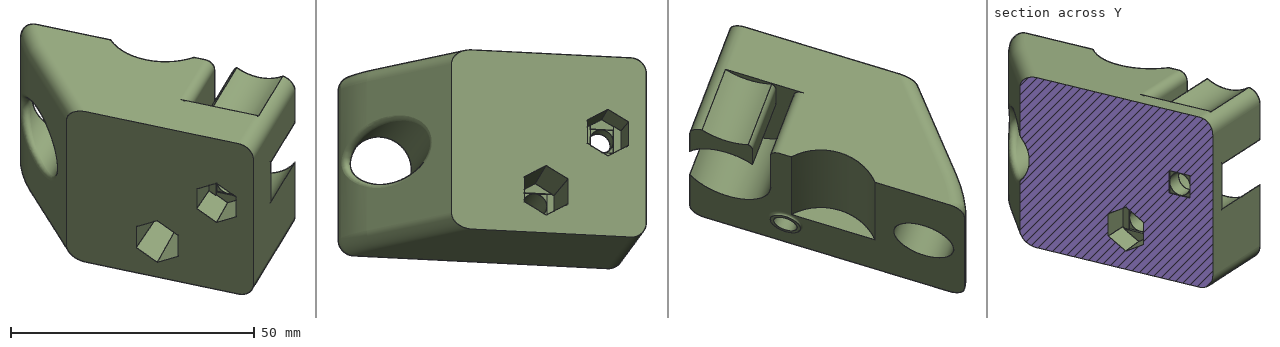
import cadquery as cq
import math

length = 59.68
depth = 25.5
height = 38.19
edge_radius = 3.25

slope_foot_x = 18.86
slope_angle = 50.0
corner_radius = 3.25
corner_turn = 24.6
back_land = 0.4

bore_diameter = 13.0
bore_x = 8.8
bore_z = height / 2
bore_lip_radius = 1.0

saddle_radius = 12.05
saddle_x = 28.5
saddle_depth = 4.15

lower_x = 38.68
lower_z = 9.05
lower_hole = 5.1
lower_nut_mouth = 9.15
lower_nut_floor = 7.95
lower_nut_depth = 12.0

upper_x = 51.62
upper_z = 22.0
upper_hole = 4.9
upper_nut_mouth = 8.6
upper_nut_floor = 7.95
upper_nut_depth = 6.5

bridge_step = 0.3

boss_radius = 3.3
boss_height = 0.6
boss_flare = 0.5
saddle_end_z = lower_z + boss_radius + boss_flare

pocket_depth = 14.9
pocket_radius = 9.5
slot_width = 3.9
slot_lip_radius = 2.1
scoop_radius = 9.5
scoop_x = 51.75
scoop_bottom_z = 36.55


def cylinder_along_y(x, z, radius, y_start, y_end):
    """Cylinder parallel to Y between two Y positions."""
    start = cq.Vector(x, y_start, z)
    return cq.Workplane(obj=cq.Solid.makeCylinder(radius, y_end - y_start, start, cq.Vector(0, 1, 0)))


def box_between(x_range, y_range, z_range):
    """Axis-aligned box spanning three (low, high) ranges."""
    sizes = [high - low for low, high in (x_range, y_range, z_range)]
    corner = cq.Vector(x_range[0], y_range[0], z_range[0])
    return cq.Workplane(obj=cq.Solid.makeBox(*sizes, corner))


def left_end_points():
    """Corner arc start, middle and end, then the middle and end of the broad curve, in XY."""
    slope = math.radians(90 - slope_angle)
    turn = math.radians(corner_turn)
    center_y = depth - back_land

    def corner_point(angle):
        return (
            corner_radius * (1 - math.cos(angle)),
            center_y - corner_radius * math.sin(angle),
        )

    blend_x, blend_y = corner_point(turn)
    slope_x_at_blend = slope_foot_x - blend_y * math.tan(slope)
    gap = slope_x_at_blend - blend_x
    tangent = -gap * math.cos(slope) / math.sin(slope - turn)
    cross_x = blend_x + tangent * math.sin(turn)
    cross_y = blend_y - tangent * math.cos(turn)
    slope_end = (cross_x + tangent * math.sin(slope), cross_y - tangent * math.cos(slope))

    curve_radius = tangent / math.tan((slope - turn) / 2)
    middle = (slope + turn) / 2
    curve_middle = (
        blend_x + curve_radius * (math.cos(turn) - math.cos(middle)),
        blend_y - curve_radius * (math.sin(middle) - math.sin(turn)),
    )
    return corner_point(0), corner_point(turn / 2), corner_point(turn), curve_middle, slope_end


def make_block():
    """Extruded outline, rounded along the top and bottom of its left and right ends."""
    corner_start, corner_middle, corner_end, curve_middle, slope_end = left_end_points()
    block = (
        cq.Workplane("XY")
        .moveTo(slope_foot_x, 0)
        .lineTo(length, 0)
        .lineTo(length, depth)
        .lineTo(0, depth)
        .lineTo(*corner_start)
        .threePointArc(corner_middle, corner_end)
        .threePointArc(curve_middle, slope_end)
        .close()
        .extrude(height)
    )
    rim = block.faces("<Z or >Z").edges("not |X")
    return rim.fillet(edge_radius)


def cut_bore(body):
    """Round bore along Y with a rolled lip where it opens on the sloped end."""
    body = body.cut(cylinder_along_y(bore_x, bore_z, bore_diameter / 2, 0, depth))
    reach = bore_diameter / 2 + bore_lip_radius
    mouth_zone = cq.selectors.BoxSelector(
        (bore_x - reach, 0, bore_z - reach),
        (bore_x + reach, depth - back_land, bore_z + reach),
        boundingbox=True,
    )
    lip = body.edges(mouth_zone).edges("not %LINE")
    return lip.fillet(bore_lip_radius)


def cut_saddle(body):
    """Cylindrical saddle parallel to Z in the back face."""
    axis_y = depth - saddle_depth + saddle_radius
    saddle = (
        cq.Workplane("XY", origin=(saddle_x, axis_y, saddle_end_z))
        .circle(saddle_radius)
        .extrude(height - saddle_end_z)
    )
    return body.cut(saddle)


def cut_pocket(body):
    """Round pocket about the upper screw, with an entry slot from the top and a scoop above it."""
    floor_y = depth - pocket_depth
    slot_left = upper_x - pocket_radius
    slot_right = slot_left + slot_width
    lip_left = slot_left - slot_lip_radius
    lip_right = slot_right + slot_lip_radius
    lip_z = height - slot_lip_radius

    body = body.cut(cylinder_along_y(upper_x, upper_z, pocket_radius, floor_y, depth))
    body = body.cut(box_between((slot_left, slot_right), (floor_y, depth), (upper_z, height)))

    lips = box_between((lip_left, lip_right), (floor_y, depth), (lip_z, height))
    for lip_x in (lip_left, lip_right):
        lips = lips.cut(cylinder_along_y(lip_x, lip_z, slot_lip_radius, floor_y, depth))
    body = body.cut(lips)

    scoop_z = scoop_bottom_z + scoop_radius
    return body.cut(cylinder_along_y(scoop_x, scoop_z, scoop_radius, floor_y, depth))


def hexagon(width, y):
    """Hexagon wire across the Y axis, points up and down, centred on the axis."""
    radius = width / math.sqrt(3)
    angles = [math.radians(90 + 60 * i) for i in range(6)]
    points = [cq.Vector(radius * math.cos(a), y, radius * math.sin(a)) for a in angles]
    return cq.Wire.makePolygon(points, close=True)


def cut_nut_pocket(body, x, z, hole, mouth, floor, nut_depth, slot_upright):
    """Tapered nut pocket, two stepped bridging layers and the screw hole behind them."""
    center = (x, 0, z)
    nut = cq.Workplane(obj=cq.Solid.makeLoft([hexagon(mouth, 0), hexagon(floor, nut_depth)], True))
    body = body.cut(nut.translate(center))

    first_step = nut_depth + bridge_step
    second_step = first_step + bridge_step
    half = hole / 2
    bridge = cq.Workplane(
        obj=cq.Solid.extrudeLinear(hexagon(floor, nut_depth), [], cq.Vector(0, bridge_step, 0))
    )
    wide = (-floor, floor)
    narrow = (-half, half)
    x_range, z_range = (narrow, wide) if slot_upright else (wide, narrow)
    bridge = bridge.intersect(box_between(x_range, (nut_depth, first_step), z_range))
    body = body.cut(bridge.translate(center))

    square = box_between(narrow, (first_step, second_step), narrow)
    body = body.cut(square.translate(center))
    return body.cut(cylinder_along_y(x, z, half, 0, depth + boss_height))


def add_boss(body):
    """Low round spacer on the back face, flared at its base by a concave arc."""
    flare_radius = boss_radius + boss_flare
    bend = boss_flare * (1 - math.sqrt(0.5))
    profile = (
        cq.Workplane("XY")
        .moveTo(0, -boss_flare)
        .lineTo(flare_radius, -boss_flare)
        .lineTo(flare_radius, 0)
        .threePointArc((boss_radius + bend, bend), (boss_radius, boss_flare))
        .lineTo(boss_radius, boss_height)
        .lineTo(0, boss_height)
        .close()
    )
    boss = profile.revolve(360, (0, 0, 0), (0, 1, 0))
    return body.union(boss.translate((lower_x, depth, lower_z)))


result = make_block()
result = cut_bore(result)
result = cut_saddle(result)
result = cut_pocket(result)
result = add_boss(result)
result = cut_nut_pocket(
    result, lower_x, lower_z, lower_hole, lower_nut_mouth, lower_nut_floor, lower_nut_depth, False
)
result = cut_nut_pocket(
    result, upper_x, upper_z, upper_hole, upper_nut_mouth, upper_nut_floor, upper_nut_depth, True
)